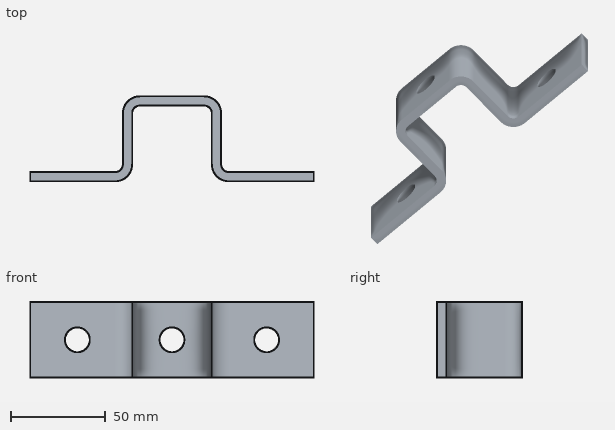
import cadquery as cq

length = 150.0
depth = 45.0
height = 40.0

thickness = 5.0
inner_radius = 4.0
outer_radius = inner_radius + thickness
channel_width = 52.0

hole_diameter = 13.0
hole_spacing = 50.0
hole_count = 3

front_y = -depth / 2
back_y = depth / 2


def make_hat_strip():
    """Constant-thickness hat profile in the XY plane, extruded along Z."""
    end_x = length / 2
    leg_outer_x = channel_width / 2
    leg_inner_x = leg_outer_x - thickness
    flange_back_y = front_y + thickness
    crown_front_y = back_y - thickness

    outline = [
        (-end_x, front_y),
        (-leg_inner_x, front_y),
        (-leg_inner_x, crown_front_y),
        (leg_inner_x, crown_front_y),
        (leg_inner_x, front_y),
        (end_x, front_y),
        (end_x, flange_back_y),
        (leg_outer_x, flange_back_y),
        (leg_outer_x, back_y),
        (-leg_outer_x, back_y),
        (-leg_outer_x, flange_back_y),
        (-end_x, flange_back_y),
    ]
    strip = (
        cq.Workplane("XY")
        .workplane(offset=-height / 2)
        .polyline(outline)
        .close()
        .extrude(height)
    )

    outside_bends = [
        (-leg_inner_x, front_y),
        (leg_inner_x, front_y),
        (-leg_outer_x, back_y),
        (leg_outer_x, back_y),
    ]
    inside_bends = [
        (-leg_outer_x, flange_back_y),
        (leg_outer_x, flange_back_y),
        (-leg_inner_x, crown_front_y),
        (leg_inner_x, crown_front_y),
    ]
    strip = round_corners(strip, outside_bends, outer_radius)
    return round_corners(strip, inside_bends, inner_radius)


def round_corners(body, corners, radius):
    """Fillet the vertical edges standing at the given XY corners."""
    for x, y in corners:
        edge = cq.selectors.NearestToPointSelector((x, y, 0))
        body = body.edges("|Z").edges(edge).fillet(radius)
    return body


def make_bolt_holes():
    """Row of cylinders along Y, long enough to pass through the whole part."""
    return (
        cq.Workplane("XZ", origin=(0, back_y, 0))
        .rarray(hole_spacing, hole_spacing, hole_count, 1)
        .circle(hole_diameter / 2)
        .extrude(depth)
    )


result = make_hat_strip().cut(make_bolt_holes())